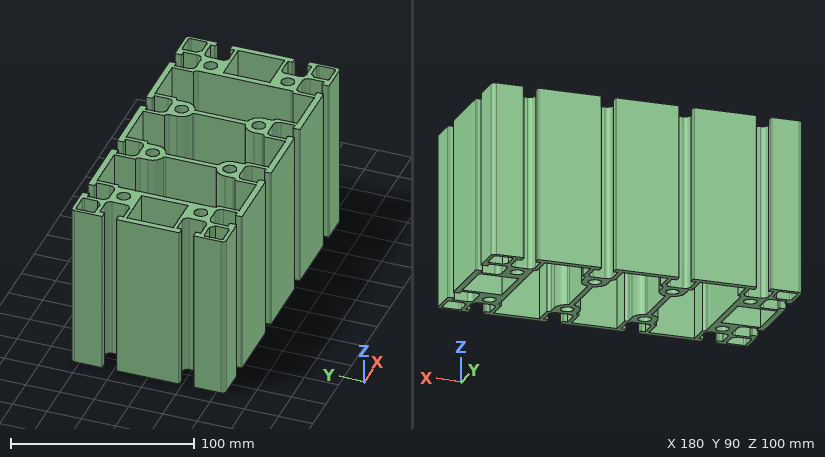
import cadquery as cq
import math

length = 180.0
depth = 90.0
height = 100.0
corner_radius = 2.3

pitch = 45.0
slot_columns = [-1.5 * pitch, -0.5 * pitch, 0.5 * pitch, 1.5 * pitch]
slot_rows = [-0.5 * pitch, 0.5 * pitch]
bore_y = slot_rows[-1]
bore_diameter = 7.4

slot_opening = 8.1
lip_edge_radius = 0.5
slot_width = 13.9
long_side_lip = 4.1
end_lip = 4.0
long_side_slot_depth = 15.5
end_slot_depth = 15.1
long_side_slot_radius = 3.5
end_slot_radius = 2.9

slot_wall = 2.3
outer_wall = 3.6
web_thickness = 3.0
web_radius = 0.9
boss_radius = 7.4
shoulder_depth = 16.0

end_chamber_wall = 3.6
end_chamber_width = 22.9
end_chamber_height = 27.0

hollow_inner_edge = 13.1
hollow_end_wall = 2.0
hollow_side_wall = 2.2
hollow_radius = 1.0
hollow_chamfer = 2.5


def box(x_min, x_max, y_min, y_max):
    """Full-height block between the given plan limits."""
    return (
        cq.Workplane("XY")
        .center((x_min + x_max) / 2, (y_min + y_max) / 2)
        .rect(x_max - x_min, y_max - y_min)
        .extrude(height)
    )


def slot_cutter(lip, slot_depth, floor_radius):
    """T-slot opening towards +Y, with its mouth on the X axis and both lip edges rounded."""
    half_opening = slot_opening / 2
    rounded_half = half_opening + lip_edge_radius
    half_width = slot_width / 2
    mouth = (
        cq.Workplane("XY")
        .moveTo(-rounded_half, 0)
        .lineTo(rounded_half, 0)
        .radiusArc((half_opening, -lip_edge_radius), -lip_edge_radius)
        .lineTo(half_opening, -lip + lip_edge_radius)
        .radiusArc((rounded_half, -lip), -lip_edge_radius)
        .lineTo(-rounded_half, -lip)
        .radiusArc((-half_opening, -lip + lip_edge_radius), -lip_edge_radius)
        .lineTo(-half_opening, -lip_edge_radius)
        .radiusArc((-rounded_half, 0), -lip_edge_radius)
        .close()
        .extrude(height)
    )
    cavity = box(-half_width, half_width, -slot_depth, -lip)
    return mouth.union(cavity.edges("|Z and <Y").fillet(floor_radius))


def long_side_slot(x):
    """Cutter for a slot in the +Y face."""
    cutter = slot_cutter(long_side_lip, long_side_slot_depth, long_side_slot_radius)
    return cutter.translate((x, depth / 2, 0))


def end_slot(y):
    """Cutter for a slot in the -X face."""
    cutter = slot_cutter(end_lip, end_slot_depth, end_slot_radius)
    return cutter.rotate((0, 0, 0), (0, 0, 1), 90).translate((-length / 2, y, 0))


def slot_housing(x):
    """Material left around a long-side slot and its bore, from the face inwards."""
    wall_half = slot_width / 2 + slot_wall
    face = depth / 2
    shoulder = face - shoulder_depth
    shoulder_radius = wall_half - boss_radius
    outline = (
        cq.Workplane("XY")
        .moveTo(x - wall_half, face)
        .lineTo(x - wall_half, shoulder)
        .radiusArc((x - boss_radius, shoulder - shoulder_radius), shoulder_radius)
        .lineTo(x - boss_radius, bore_y)
        .threePointArc((x, bore_y - boss_radius), (x + boss_radius, bore_y))
        .lineTo(x + boss_radius, shoulder - shoulder_radius)
        .radiusArc((x + wall_half, shoulder), shoulder_radius)
        .lineTo(x + wall_half, face)
        .close()
    )
    return outline.extrude(height)


def divider_web(x):
    """Thin web between two opposite bosses, flared by a fillet where it meets each boss."""
    half = web_thickness / 2
    fillet_x = half + web_radius
    boss_reach = boss_radius + web_radius
    flare_drop = math.sqrt(boss_reach**2 - fillet_x**2)
    flare_y = bore_y - flare_drop
    touch_x = fillet_x * boss_radius / boss_reach
    touch_y = bore_y - flare_drop * boss_radius / boss_reach
    outline = (
        cq.Workplane("XY")
        .moveTo(x - half, -flare_y)
        .lineTo(x - half, flare_y)
        .radiusArc((x - touch_x, touch_y), -web_radius)
        .lineTo(x + touch_x, touch_y)
        .radiusArc((x + half, flare_y), -web_radius)
        .lineTo(x + half, -flare_y)
        .radiusArc((x + touch_x, -touch_y), -web_radius)
        .lineTo(x - touch_x, -touch_y)
        .radiusArc((x - half, -flare_y), -web_radius)
        .close()
    )
    return outline.extrude(height)


def mirrored(body, plane):
    """The body together with its mirror image."""
    return body.union(body.mirror(plane))


result = cq.Workplane("XY").rect(length, depth).extrude(height).edges("|Z").fillet(corner_radius)

partition_x = slot_columns[-1] - boss_radius
chamber_y = depth / 2 - outer_wall
chambers = box(-partition_x, partition_x, -chamber_y, chamber_y)
for column in slot_columns:
    chambers = chambers.cut(mirrored(slot_housing(column), "XZ"))
for column in slot_columns[1:-1]:
    chambers = chambers.cut(divider_web(column))
result = result.cut(chambers)

end_chamber_x = -length / 2 + end_chamber_wall
end_chamber = box(
    end_chamber_x,
    end_chamber_x + end_chamber_width,
    -end_chamber_height / 2,
    end_chamber_height / 2,
)
result = result.cut(end_chamber).cut(end_chamber.mirror("YZ"))

for column in slot_columns:
    slot = long_side_slot(column)
    result = result.cut(slot).cut(slot.mirror("XZ"))
for row in slot_rows:
    slot = end_slot(row)
    result = result.cut(slot).cut(slot.mirror("YZ"))

hollow = box(
    -length / 2 + hollow_end_wall,
    -length / 2 + hollow_inner_edge,
    depth / 2 - hollow_inner_edge,
    depth / 2 - hollow_side_wall,
)
hollow = hollow.edges("|Z and >X and <Y").chamfer(hollow_chamfer)
hollow = hollow.edges("|Z and (<X or >Y)").fillet(hollow_radius)
for end_hollow in (hollow, hollow.mirror("XZ")):
    result = result.cut(end_hollow).cut(end_hollow.mirror("YZ"))

bore_centres = [(x, y) for x in slot_columns for y in slot_rows]
bores = cq.Workplane("XY").pushPoints(bore_centres).circle(bore_diameter / 2).extrude(height)
result = result.cut(bores).solids()